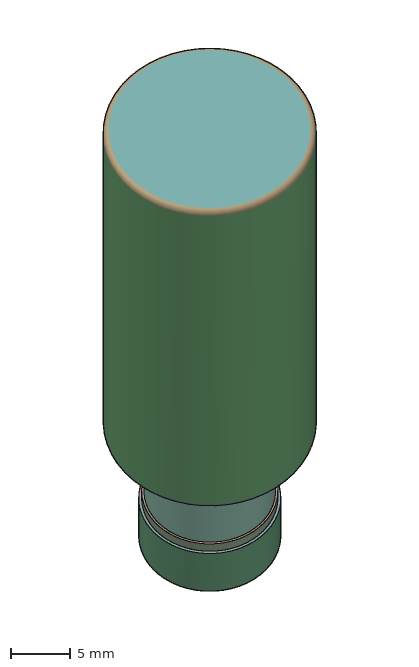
import cadquery as cq

total_length = 55.0
body_diameter = 18.0
body_length = 40.0
body_edge_radius = 0.5
neck_diameter = 11.1
collar_diameter = 12.0
collar_length = 5.1
step_diameter = 11.5
step_length = 1.0


def cylinder(diameter, bottom, top):
    """Solid cylinder on the Z axis between two heights."""
    return cq.Workplane("XY").workplane(offset=bottom).circle(diameter / 2).extrude(top - bottom)


body_bottom = total_length - body_length
step_top = collar_length + step_length

body = cylinder(body_diameter, body_bottom, total_length).edges().fillet(body_edge_radius)

collar = cylinder(collar_diameter, 0, collar_length)
step = cylinder(step_diameter, collar_length, step_top)
neck = cylinder(neck_diameter, step_top, body_bottom)

result = body.union(neck).union(step).union(collar)